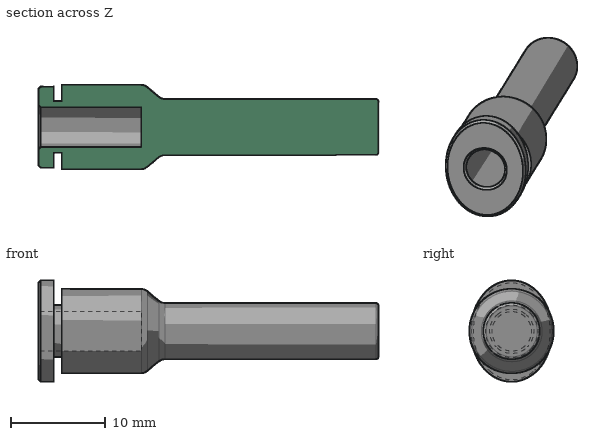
import cadquery as cq
import math

length = 36.1

button_width = 8.65
button_height = 10.8
button_thickness = 1.62
button_chamfer = 0.25

neck_diameter = 5.55
neck_fillet = 0.07

body_start = 2.45
body_diameter = 9.0
body_corner = 11.25
cone_angle = 40.0
blend_radius = 1.0

stem_diameter = 6.0
stem_round = 0.3

socket_diameter = 4.2
socket_chamfer = 0.25

cone_length = (body_diameter - stem_diameter) / 2 / math.tan(math.radians(cone_angle))
stem_start = body_corner + cone_length
blend_setback = blend_radius * math.tan(math.radians(cone_angle) / 2)
socket_depth = body_corner - blend_setback


def x_cylinder(diameter, start, end):
    """Cylinder on the X axis between two X positions."""
    return cq.Workplane("YZ", origin=(start, 0, 0)).circle(diameter / 2).extrude(end - start)


def make_button_and_neck():
    """Oval button with a chamfered front rim, and the neck filleted into its back."""
    button = cq.Workplane("YZ").ellipse(button_width / 2, button_height / 2).extrude(button_thickness)
    button = button.faces("<X").chamfer(button_chamfer)
    neck = x_cylinder(neck_diameter, button_thickness, body_start)
    return button.union(neck).edges("%CIRCLE").edges("<X").fillet(neck_fillet)


def make_body_and_stem():
    """Body, blended cone and stem, revolved around X."""
    body_radius = body_diameter / 2
    stem_radius = stem_diameter / 2
    profile = (
        cq.Workplane("XY")
        .moveTo(body_start, 0)
        .lineTo(body_start, body_radius)
        .lineTo(body_corner, body_radius)
        .lineTo(stem_start, stem_radius)
        .lineTo(length, stem_radius)
        .lineTo(length, 0)
        .close()
    )
    turned = profile.revolve(360, (0, 0, 0), (1, 0, 0))
    turned = turned.faces("%CONE").edges("%CIRCLE").fillet(blend_radius)
    return turned.faces(">X").edges().fillet(stem_round)


def make_socket():
    """Tube socket with a countersunk mouth."""
    bore = x_cylinder(socket_diameter, 0, socket_depth)
    mouth_radius = socket_diameter / 2 + socket_chamfer
    mouth = cq.Solid.makeCone(
        mouth_radius, socket_diameter / 2, socket_chamfer, cq.Vector(0, 0, 0), cq.Vector(1, 0, 0)
    )
    return bore.union(cq.Workplane(mouth))


result = make_button_and_neck().union(make_body_and_stem()).cut(make_socket())